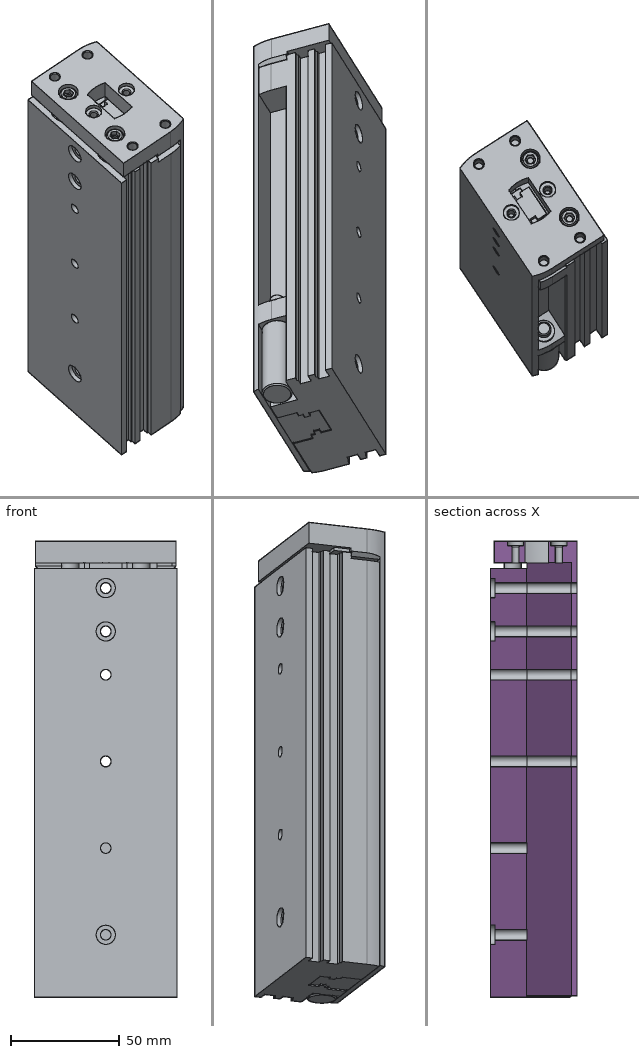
import cadquery as cq
import math

total_height = 210.7
width = 66.0
depth = 40.0
half_width = width / 2
front_y = -depth / 2
back_y = depth / 2

table_half_width = 32.5
table_bottom_z = 0.6
end_plate_bottom_z = 200.5
end_plate_front_y = -18.3
back_plate_front_y = 17.3
side_arc_start_y = 10.3
side_arc_inset = 2.0
lip_bottom_z = 197.2
lip_front_y = 3.2
lip_chamfer = 2.0
left_lip_inner_x = -16.5
right_lip_inner_x = 23.5
lug_outer_x = 30.5
lug_front_y = -5.0
block_bottom_z = 40.0
block_top_z = 54.1
block_inner_x = -18.8
block_top_drop = 2.5

corner_hole_x = 27.4
plate_hole_ys = (11.5, -8.5)
corner_hole_diameter = 4.2
corner_hole_mouth = 5.0
corner_hole_depth = 7.4
center_hole_diameter = 3.2
center_hole_mouth = 4.2
center_bore_diameter = 7.4
center_bore_depth = 2.1
window_half_width = 9.5
window_bulge = 0.8
window_front_y = -4.0
window_back_y = 6.7

housing_top_z = 198.0
housing_back_y = 16.6
stop_top_z = lip_bottom_z
stop_bottom_z = 179.0
stop_slope_drop = 2.0
stop_slope_inner_x = -18.3
ledge_y = 2.5
ledge_chamfer = 0.6
recess_inner_x = -18.3
middle_fin_half_width = 32.0
groove_floor_x = 28.2
groove_step_width = 0.6
groove_step_depth = 2.1
upper_groove_ys = (-7.8, -2.5)
lower_groove_ys = (-16.9, -11.5)
guide_shelf_y = 0.2
guide_shelf_depth = 1.3
rod_recess_diameter = 16.0
rod_recess_depth = 1.0

hole_start_z = 28.9
hole_pitch = 20.0
front_hole_steps = (0, 2, 4, 6, 7, 8)
counterbored_steps = (0, 7, 8)
open_through_steps = (4, 6, 7, 8)
front_hole_diameter = 4.8
front_bore_diameter = 8.8
front_bore_depth = 2.1

rail_half_width = 7.5
rail_base_half_width = 10.0
rail_front_y = -3.2
rail_base_y = 7.0
rail_groove_floor_x = 5.5
rail_groove_ys = (2.0, 4.8)

rod_x = 16.5
rod_y = -9.7
rod_diameter = 8.0
rod_bottom_z = 84.3
rod_neck_diameter = 6.0
rod_head_diameter = 8.0
rod_head_bottom_z = 204.4
rod_head_top_z = 209.6
rod_head_chamfer = 0.6
head_bore_diameter = 9.0
socket_diameter = 4.8
socket_depth = 2.5
socket_pilot_diameter = 3.0
socket_pilot_depth = 3.8

adjuster_x = -25.5
adjuster_y = 10.3
adjuster_diameter = 14.0
adjuster_top_chamfer = 1.3
adjuster_bottom_chamfer = 0.6
adjuster_neck_diameter = 8.0
nut_diameter = 10.0
nut_bottom_z = 51.6
nut_top_z = 53.3
tip_diameter = 6.5
tip_top_z = 58.2
tip_chamfer = 0.6


def box(x_range, y_range, z_range):
    """Box between pairs of limits along each axis."""
    sizes = [high - low for low, high in (x_range, y_range, z_range)]
    corner = (x_range[0], y_range[0], z_range[0])
    return cq.Workplane("XY").box(*sizes, centered=False).translate(corner)


def cylinder(x, y, diameter, bottom_z, top_z):
    """Upright cylinder."""
    base = cq.Workplane("XY", origin=(x, y, bottom_z))
    return base.circle(diameter / 2).extrude(top_z - bottom_z)


def front_cylinder(z, diameter, start_y, end_y):
    """Cylinder on the centre plane running along Y from start_y to end_y."""
    base = cq.Workplane("XZ", origin=(0, start_y, z))
    return base.circle(diameter / 2).extrude(start_y - end_y)


def prism(points, bottom_z, top_z):
    """Upright prism with a polygonal section."""
    base = cq.Workplane("XY", origin=(0, 0, bottom_z))
    return base.polyline(points).close().extrude(top_z - bottom_z)


def both_sides(cutter):
    """A left-hand cutter together with its mirror image on the right."""
    return cutter.union(cutter.mirror("YZ"))


def arc_sided_block(side_x, y_range, z_range):
    """Block whose sides curve inwards, tangentially, towards the back."""
    low_y, high_y = y_range
    arc_depth = back_y - side_arc_start_y
    radius = (arc_depth**2 + side_arc_inset**2) / (2 * side_arc_inset)

    def side_at(y):
        return side_x - radius + math.sqrt(radius**2 - (y - side_arc_start_y) ** 2)

    mid_y = (side_arc_start_y + high_y) / 2
    outline = (
        cq.Workplane("XY", origin=(0, 0, z_range[0]))
        .moveTo(-side_x, low_y)
        .lineTo(side_x, low_y)
        .lineTo(side_x, side_arc_start_y)
        .threePointArc((side_at(mid_y), mid_y), (side_at(high_y), high_y))
        .lineTo(-side_at(high_y), high_y)
        .threePointArc((-side_at(mid_y), mid_y), (-side_x, side_arc_start_y))
        .close()
    )
    return outline.extrude(z_range[1] - z_range[0])


def front_hole_z(step):
    return hole_start_z + step * hole_pitch


def window_cutter():
    """Guide window through the end plate, with slightly bowed ends."""
    mid_y = (window_front_y + window_back_y) / 2
    bulge_x = window_half_width + window_bulge
    return (
        cq.Workplane("XY", origin=(0, 0, end_plate_bottom_z))
        .moveTo(-window_half_width, window_front_y)
        .lineTo(window_half_width, window_front_y)
        .threePointArc((bulge_x, mid_y), (window_half_width, window_back_y))
        .lineTo(-window_half_width, window_back_y)
        .threePointArc((-bulge_x, mid_y), (-window_half_width, window_front_y))
        .close()
        .extrude(total_height - end_plate_bottom_z)
    )


def chamfered_hole(x, y, diameter, mouth, top_z, bottom_z):
    """Cutter for a hole whose mouth at top_z is chamfered."""
    chamfer = (mouth - diameter) / 2
    cone = cq.Solid.makeCone(diameter / 2, mouth / 2, chamfer, cq.Vector(x, y, top_z - chamfer))
    return cylinder(x, y, diameter, bottom_z, top_z).union(cone)


def make_stop_lips():
    """Two lips under the end plate, chamfered along their outer lower edge."""
    y_range = (lip_front_y, back_y)
    z_range = (lip_bottom_z, end_plate_bottom_z)
    lips = arc_sided_block(table_half_width, y_range, z_range)
    lips = lips.cut(box((left_lip_inner_x, right_lip_inner_x), y_range, z_range))
    bevel = (
        cq.Workplane("XZ", origin=(0, back_plate_front_y, 0))
        .moveTo(-table_half_width, lip_bottom_z)
        .lineTo(-table_half_width + lip_chamfer, lip_bottom_z)
        .lineTo(-table_half_width, lip_bottom_z + lip_chamfer)
        .close()
        .extrude(back_plate_front_y - lip_front_y)
    )
    return lips.cut(both_sides(bevel))


def make_lip_tops():
    """Upper parts of the lips, stepped forward, with the lug in front of the right one."""
    z_range = (lip_bottom_z + lip_chamfer, end_plate_bottom_z)
    left = box((-table_half_width, left_lip_inner_x), (ledge_y, lip_front_y), z_range)
    right = box((right_lip_inner_x, table_half_width), (ledge_y, lip_front_y), z_range)
    lug = box((right_lip_inner_x, lug_outer_x), (lug_front_y, lip_front_y), z_range)
    return left.union(right).union(lug)


def make_adjuster_block():
    """Block with a sloping top, on the left of the back plate, that carries the adjuster."""
    z_range = (block_bottom_z, block_top_z)
    block = arc_sided_block(table_half_width, (lip_front_y, back_y), z_range)
    block = block.cut(box((block_inner_x, half_width), (lip_front_y, back_y), z_range))
    top_slope = (
        cq.Workplane("XZ", origin=(0, back_plate_front_y, 0))
        .moveTo(-table_half_width, block_top_z)
        .lineTo(block_inner_x, block_top_z)
        .lineTo(-table_half_width, block_top_z - block_top_drop)
        .close()
        .extrude(back_plate_front_y - lip_front_y)
    )
    block = block.cut(top_slope)
    block = block.cut(cylinder(adjuster_x, adjuster_y, adjuster_neck_diameter, *z_range))
    return block.cut(cylinder(adjuster_x, adjuster_y, nut_diameter, nut_bottom_z, block_top_z))


def make_table():
    end_plate = arc_sided_block(
        table_half_width, (end_plate_front_y, back_y), (end_plate_bottom_z, total_height)
    )
    back_plate = arc_sided_block(
        table_half_width, (lip_front_y, back_y), (table_bottom_z, end_plate_bottom_z)
    ).intersect(box((-half_width, half_width), (back_plate_front_y, back_y), (0, total_height)))
    table = end_plate.union(back_plate)
    for part in (make_stop_lips(), make_lip_tops(), make_adjuster_block()):
        table = table.union(part)
    table = table.cut(window_cutter())

    for y in plate_hole_ys:
        for x in (-corner_hole_x, corner_hole_x):
            table = table.cut(chamfered_hole(
                x, y, corner_hole_diameter, corner_hole_mouth,
                total_height, total_height - corner_hole_depth,
            ))
        bore_floor_z = total_height - center_bore_depth
        table = table.cut(cylinder(0, y, center_bore_diameter, bore_floor_z, total_height))
        table = table.cut(chamfered_hole(
            0, y, center_hole_diameter, center_hole_mouth, bore_floor_z, end_plate_bottom_z
        ))

    for x in (-rod_x, rod_x):
        table = table.cut(cylinder(x, rod_y, rod_neck_diameter, end_plate_bottom_z, total_height))
        table = table.cut(cylinder(x, rod_y, head_bore_diameter, rod_head_bottom_z, total_height))

    for step in open_through_steps:
        hole = front_cylinder(front_hole_z(step), front_hole_diameter, back_plate_front_y, back_y)
        table = table.cut(hole)
    return table


def side_groove_cutter():
    """Left-hand stepped grooves that leave a recessed middle fin between two outer ones."""
    def groove(fin_x, y_range):
        back = y_range[1]
        slot = box((-half_width, -groove_floor_x), y_range, (0, housing_top_z))
        step = box(
            (-half_width, -fin_x + groove_step_depth),
            (back, back + groove_step_width),
            (0, housing_top_z),
        )
        return slot.union(step)

    fin_relief = box(
        (-half_width, -middle_fin_half_width),
        (lower_groove_ys[1], upper_groove_ys[0]),
        (0, housing_top_z),
    )
    upper = groove(half_width, upper_groove_ys)
    lower = groove(middle_fin_half_width, lower_groove_ys)
    return upper.union(lower).union(fin_relief)


def adjuster_recess_cutter():
    """Recess on the left in which the adjuster and its block travel."""
    return prism([
        (-half_width, ledge_y),
        (-half_width + ledge_chamfer, ledge_y + ledge_chamfer),
        (recess_inner_x, ledge_y + ledge_chamfer),
        (recess_inner_x, housing_back_y),
        (-half_width, housing_back_y),
    ], 0, stop_bottom_z)


def stop_slope_cutter():
    """Wedge that slopes the top of the left stop down towards its outer side."""
    return (
        cq.Workplane("XZ", origin=(0, housing_back_y, 0))
        .moveTo(-half_width, stop_top_z)
        .lineTo(stop_slope_inner_x, stop_top_z)
        .lineTo(-half_width, stop_top_z - stop_slope_drop)
        .close()
        .extrude(housing_back_y - ledge_y)
    )


def guide_shelf_cutter():
    """Shallow lowering of the housing top on both sides of the rail."""
    return box(
        (-rail_base_half_width, rail_base_half_width),
        (guide_shelf_y, housing_back_y),
        (housing_top_z - guide_shelf_depth, housing_top_z),
    )


def make_housing():
    housing = arc_sided_block(half_width, (front_y, housing_back_y), (0, housing_top_z))
    housing = housing.cut(both_sides(side_groove_cutter()))
    housing = housing.cut(adjuster_recess_cutter())
    housing = housing.cut(
        box((-half_width, half_width), (ledge_y, housing_back_y), (stop_top_z, housing_top_z))
    )
    housing = housing.cut(both_sides(stop_slope_cutter()))
    housing = housing.cut(rail_section((0, housing_top_z)))
    housing = housing.cut(guide_shelf_cutter())
    for x in (-rod_x, rod_x):
        housing = housing.cut(cylinder(x, rod_y, rod_diameter, rod_bottom_z, housing_top_z))
        recess_floor_z = housing_top_z - rod_recess_depth
        housing = housing.cut(
            cylinder(x, rod_y, rod_recess_diameter, recess_floor_z, housing_top_z)
        )
    for step in front_hole_steps:
        z = front_hole_z(step)
        housing = housing.cut(front_cylinder(z, front_hole_diameter, front_y, rail_front_y))
        if step in counterbored_steps:
            bore_floor_y = front_y + front_bore_depth
            housing = housing.cut(front_cylinder(z, front_bore_diameter, front_y, bore_floor_y))
    return housing


def rail_section(z_range):
    """Grooved rail on its wider base, which also gives the channel in the housing."""
    rail = box((-rail_half_width, rail_half_width), (rail_front_y, rail_base_y), z_range)
    base = box(
        (-rail_base_half_width, rail_base_half_width), (rail_base_y, back_plate_front_y), z_range
    )
    groove = box((-rail_half_width, -rail_groove_floor_x), rail_groove_ys, z_range)
    return rail.union(base).cut(both_sides(groove))


def make_rail():
    rail = rail_section((table_bottom_z, end_plate_bottom_z))
    for step in open_through_steps:
        hole = front_cylinder(
            front_hole_z(step), front_hole_diameter, rail_front_y, back_plate_front_y
        )
        rail = rail.cut(hole)
    return rail


def make_rod(x):
    """Rod whose neck passes through the end plate to a socket head."""
    head = cylinder(x, rod_y, rod_head_diameter, rod_head_bottom_z, rod_head_top_z)
    head = head.faces(">Z").edges().chamfer(rod_head_chamfer)
    rod = cylinder(x, rod_y, rod_diameter, rod_bottom_z, end_plate_bottom_z)
    rod = rod.union(cylinder(x, rod_y, rod_neck_diameter, end_plate_bottom_z, rod_head_bottom_z))
    rod = rod.union(head)
    socket_floor_z = rod_head_top_z - socket_depth
    socket = (
        cq.Workplane("XY", origin=(x, rod_y, socket_floor_z))
        .polygon(6, socket_diameter)
        .extrude(socket_depth)
    )
    pilot_floor_z = rod_head_top_z - socket_pilot_depth
    pilot = cylinder(x, rod_y, socket_pilot_diameter, pilot_floor_z, rod_head_top_z)
    return rod.cut(socket).cut(pilot)


def make_adjuster():
    """Absorber cylinder with a neck through the block, a nut and a striking tip."""
    body = cylinder(adjuster_x, adjuster_y, adjuster_diameter, 0, block_bottom_z)
    body = body.faces(">Z").edges().chamfer(adjuster_top_chamfer)
    body = body.faces("<Z").edges().chamfer(adjuster_bottom_chamfer)
    neck = cylinder(adjuster_x, adjuster_y, adjuster_neck_diameter, block_bottom_z, nut_bottom_z)
    nut = cylinder(adjuster_x, adjuster_y, nut_diameter, nut_bottom_z, nut_top_z)
    tip = cylinder(adjuster_x, adjuster_y, tip_diameter, nut_top_z, tip_top_z)
    tip = tip.faces(">Z").edges().chamfer(tip_chamfer)
    return body.union(neck).union(nut).union(tip)


table = make_table()
housing = make_housing()
rail = make_rail()
adjuster = make_adjuster()
rods = [make_rod(x) for x in (-rod_x, rod_x)]

bodies = [table, housing, rail, adjuster, *rods]

result = cq.Compound.makeCompound([body.solids().val() for body in bodies])